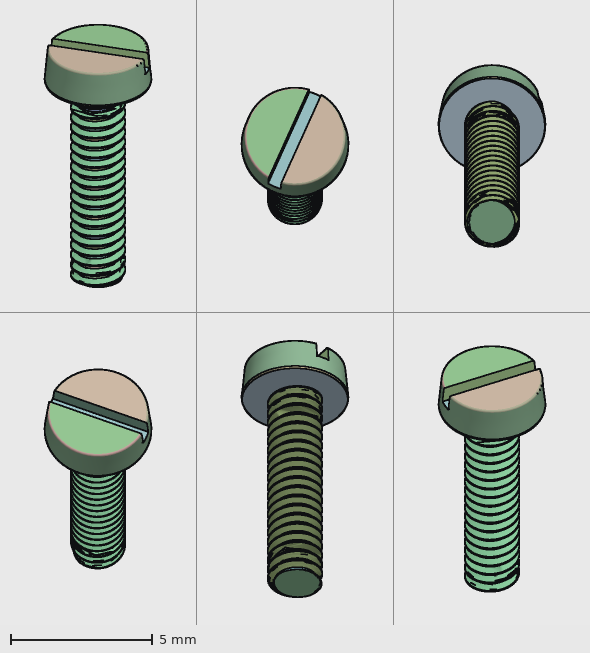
import cadquery as cq
import math

total_length = 9.3
head_height = 1.3
shank_length = total_length - head_height

head_bottom_diameter = 3.79
head_top_diameter = 3.57
top_rim_radius = 0.07
bottom_rim_height = 0.08
bottom_rim_inset = 0.03
slot_width = 0.48
slot_depth = 0.6

root_diameter = 1.48
crest_diameter = 1.93
pitch = 0.4
crest_flat = pitch / 8
root_flat = pitch / 4
crest_height_at_plus_x = 0.3
root_overlap = 0.05
head_overlap = 0.19
end_allowance = 4 * pitch


def make_head():
    bottom_radius = head_bottom_diameter / 2
    top_radius = head_top_diameter / 2
    head = (
        cq.Workplane("XZ")
        .moveTo(0, shank_length)
        .lineTo(bottom_radius - bottom_rim_inset, shank_length)
        .lineTo(bottom_radius, shank_length + bottom_rim_height)
        .lineTo(top_radius, total_length)
        .lineTo(0, total_length)
        .close()
        .revolve(360, (0, 0, 0), (0, 1, 0))
    )
    head = head.faces(">Z").edges().fillet(top_rim_radius)
    slot = (
        cq.Workplane("XY")
        .workplane(offset=total_length - slot_depth)
        .rect(2 * head_bottom_diameter, slot_width)
        .extrude(2 * slot_depth)
    )
    return head.cut(slot)


def make_thread_ridge():
    """Helical ridge running past both ends of the shank."""
    start = crest_height_at_plus_x - 2 * pitch
    turns = math.ceil((shank_length + head_overlap - start) / pitch) + 1
    inner_radius = root_diameter / 2 - root_overlap
    crest_radius = crest_diameter / 2
    crest_half = crest_flat / 2
    root_half = (pitch - root_flat) / 2
    flank_slope = (root_half - crest_half) / (crest_radius - root_diameter / 2)
    base_half = root_half + root_overlap * flank_slope
    helix = cq.Wire.makeHelix(pitch, turns * pitch, inner_radius).translate(cq.Vector(0, 0, start))
    profile = cq.Workplane("XZ").polyline([
        (inner_radius, start - base_half),
        (crest_radius, start - crest_half),
        (crest_radius, start + crest_half),
        (inner_radius, start + base_half),
    ]).close()
    return profile.sweep(cq.Workplane(obj=helix), isFrenet=True)


def make_shank():
    """Threaded rod cut flat at the tip, with its upper end buried in the head."""
    core = (
        cq.Workplane("XY")
        .workplane(offset=-end_allowance)
        .circle(root_diameter / 2)
        .extrude(shank_length + 2 * end_allowance)
    )
    rod = core.union(make_thread_ridge(), clean=False)
    envelope = cq.Workplane("XY").circle(crest_diameter).extrude(shank_length + head_overlap)
    return rod.intersect(envelope, clean=False)


result = make_head().union(make_shank(), clean=False)